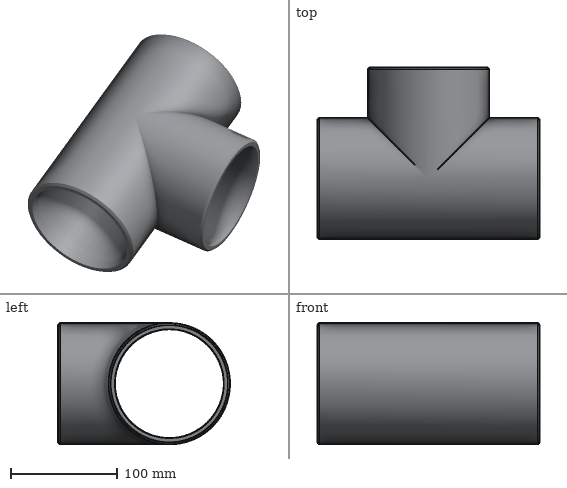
import cadquery as cq

run_length = 209.3
branch_length = run_length / 2
outer_diameter = 114.3
wall = 6.0
bevel_size = 2.0

outer_radius = outer_diameter / 2
inner_radius = outer_radius - wall


def cylinder_pair(radius):
    """Run and branch cylinders of one radius, joined."""
    run = cq.Workplane("YZ").circle(radius).extrude(run_length / 2, both=True)
    branch = cq.Workplane("XZ").circle(radius).extrude(-branch_length)
    return run.union(branch)


def bevel_ends(body):
    """Bevel the outer rim of the three open ends."""
    for end in ("<X", ">X", ">Y"):
        body = body.faces(end).edges().chamfer(bevel_size)
    return body


result = cylinder_pair(outer_radius)
result = bevel_ends(result)
result = result.cut(cylinder_pair(inner_radius))